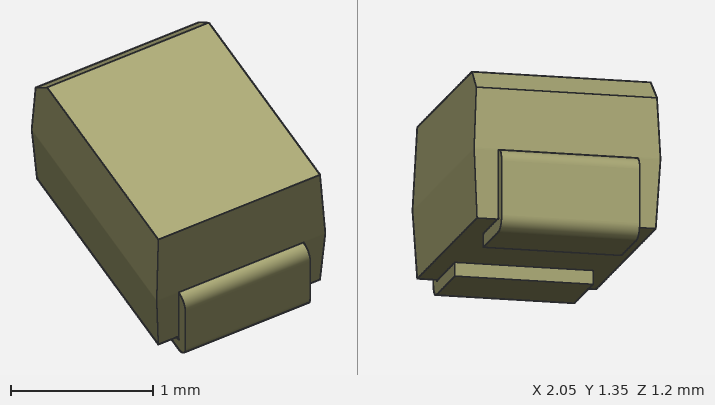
import cadquery as cq

body_length = 1.85
body_width = 1.35
total_height = 1.2
parting_height = total_height / 2
band_height = 0.01
band_bottom = parting_height - band_height / 2
band_top = parting_height + band_height / 2
taper_inset = 0.0274
polarity_chamfer = 0.152

lead_thickness = 0.1
lead_width = 1.0
lead_top = band_bottom
left_foot_length = 0.55
right_foot_length = 0.65
lead_inner_x = body_length / 2
lead_outer_x = lead_inner_x + lead_thickness

body_bottom = lead_thickness


def tapered_half(start_z, end_z):
    """Half of the body that narrows by taper_inset per side from start_z to end_z."""
    return (
        cq.Workplane("XY", origin=(0, 0, start_z))
        .rect(body_length, body_width)
        .workplane(offset=end_z - start_z)
        .rect(body_length - 2 * taper_inset, body_width - 2 * taper_inset)
        .loft(ruled=True)
    )


def make_body():
    """Two tapered halves joined by an upright parting band, chamfered to mark polarity."""
    band = (
        cq.Workplane("XY", origin=(0, 0, band_bottom))
        .rect(body_length, body_width)
        .extrude(band_height)
    )
    lower_half = tapered_half(band_bottom, body_bottom)
    upper_half = tapered_half(band_top, total_height)
    blank = band.union(lower_half).union(upper_half)
    return blank.faces(">Z").edges("<X").chamfer(polarity_chamfer)


def make_lead(side, foot_length):
    """Folded strip on the -X end (side = -1) or the +X end (side = 1)."""
    foot_end = side * (lead_outer_x - foot_length)
    inner = side * lead_inner_x
    outer = side * lead_outer_x
    bend_radius = lead_thickness
    return (
        cq.Workplane("XZ")
        .moveTo(foot_end, 0)
        .lineTo(inner, 0)
        .radiusArc((outer, bend_radius), -side * bend_radius)
        .lineTo(outer, lead_top - bend_radius)
        .radiusArc((inner, lead_top), -side * bend_radius)
        .lineTo(inner, lead_thickness)
        .lineTo(foot_end, lead_thickness)
        .close()
        .extrude(lead_width / 2, both=True)
    )


body = make_body()
leads = [
    make_lead(side, foot_length)
    for side, foot_length in ((-1, left_foot_length), (1, right_foot_length))
]

result = cq.Compound.makeCompound([body.val(), *[lead.val() for lead in leads]])